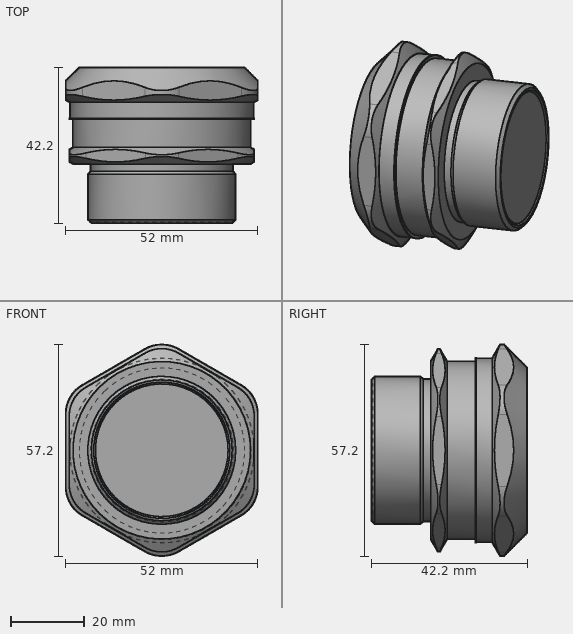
import cadquery as cq
import math

neck_start = 14.05
small_hex_start = 16.0
small_hex_end = 20.55
lip_start = 28.15
lip_length = 0.3
collar_start = lip_start + lip_length
big_hex_start = 32.7
total_length = 42.15

spigot_diameter = 40.0
neck_diameter = 38.6
small_hex_face_diameter = 48.0
body_diameter = 48.2
lip_diameter = 50.0
collar_diameter = 49.8
big_hex_face_diameter = 50.0
back_face_diameter = 44.7

spigot_chamfer = 1.0
neck_chamfer_length = 0.85
recess_rim_diameter = 36.85
recess_floor_diameter = 35.85
recess_depth = 0.4

big_hex_flats = 52.0
big_hex_corner_radius = 9.15
small_hex_flats = 50.0
small_hex_corner_radius = 9.0
nut_cone_angle = 30.0
nut_cone_slope = math.tan(math.radians(nut_cone_angle))
back_cone_slope = 1.0


def revolve_profile(points):
    """Revolve (radius, y) points about the Y axis."""
    return cq.Workplane("XY").polyline(points).close().revolve(360, (0, 0), (0, 1))


def cylinder(diameter, start, end):
    radius = diameter / 2
    return revolve_profile([(0, start), (radius, start), (radius, end), (0, end)])


def rounded_hexagon(flats, corner_radius, start, end):
    """Hexagonal prism along Y with rounded corners."""
    corner_diameter = flats / math.cos(math.pi / 6)
    return (
        cq.Workplane("XZ", origin=(0, start, 0))
        .transformed(rotate=(0, 0, 90))
        .polygon(6, corner_diameter)
        .extrude(start - end)
        .edges("|Y")
        .fillet(corner_radius)
    )


def double_cone(front_radius, start, front_slope, back_radius, end, back_slope):
    """Two cones meeting base to base; each slope is axial rise per radial rise."""
    length = end - start
    weighted_radii = front_slope * front_radius + back_slope * back_radius
    peak_radius = (length + weighted_radii) / (front_slope + back_slope)
    peak_y = start + front_slope * (peak_radius - front_radius)
    return revolve_profile([
        (0, start),
        (front_radius, start),
        (peak_radius, peak_y),
        (back_radius, end),
        (0, end),
    ])


def spigot():
    radius = spigot_diameter / 2
    neck_radius = neck_diameter / 2
    return revolve_profile([
        (0, recess_depth),
        (recess_floor_diameter / 2, recess_depth),
        (recess_rim_diameter / 2, 0),
        (radius - spigot_chamfer, 0),
        (radius, spigot_chamfer),
        (radius, neck_start - neck_chamfer_length),
        (neck_radius, neck_start),
        (neck_radius, small_hex_start),
        (0, small_hex_start),
    ])


def small_hex():
    prism = rounded_hexagon(small_hex_flats, small_hex_corner_radius, small_hex_start, small_hex_end)
    radius = small_hex_face_diameter / 2
    return prism.intersect(
        double_cone(radius, small_hex_start, nut_cone_slope, radius, small_hex_end, nut_cone_slope)
    )


def big_hex():
    prism = rounded_hexagon(big_hex_flats, big_hex_corner_radius, big_hex_start, total_length)
    return prism.intersect(
        double_cone(
            big_hex_face_diameter / 2, big_hex_start, nut_cone_slope,
            back_face_diameter / 2, total_length, back_cone_slope,
        )
    )


result = (
    spigot()
    .union(small_hex())
    .union(cylinder(body_diameter, small_hex_end, lip_start))
    .union(cylinder(lip_diameter, lip_start, collar_start))
    .union(cylinder(collar_diameter, collar_start, big_hex_start))
    .union(big_hex())
)